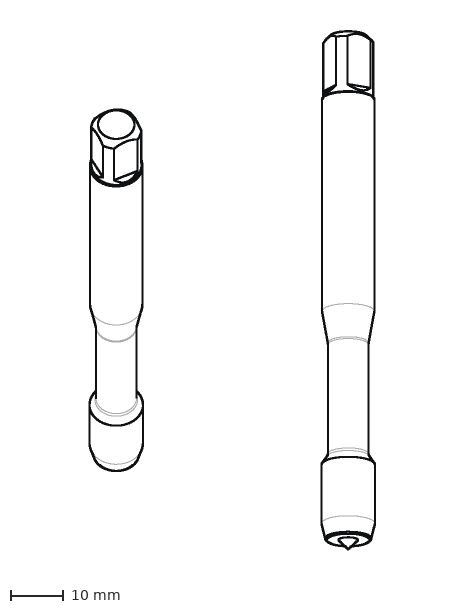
import cadquery as cq
import math

TOTAL_LENGTH = 101.6
POINT_LENGTH = 1.8
LEAD_TOP = 5.1
THREAD_TOP = 16.8
SHOULDER_TOP = 18.6
NECK_TOP = 40.8
SHANK_BOTTOM = 47.2
SHANK_TOP = 89.1
SQUARE_BOTTOM = 90.8

THREAD_DIAMETER = 10.2
LEAD_DIAMETER = 8.7
NECK_DIAMETER = 7.7
SHANK_DIAMETER = 10.0
DRIVE_DIAMETER = 9.6
DRIVE_TOP_DIAMETER = 6.9

LEAD_CHAMFER = 0.3
SHOULDER_FILLET = 1.0
TAPER_FILLET = 2.0

SQUARE_WIDTH = 8.1
RUNOUT_ANGLE = 35.0
SHANK_CHAMFER = (SHANK_DIAMETER - DRIVE_DIAMETER) / 2
DRIVE_CHAMFER = (DRIVE_DIAMETER - DRIVE_TOP_DIAMETER) / 2


def revolve_profile(points):
    """Turn an outline of (radius, height) points about the Z axis."""
    return cq.Workplane("XZ").polyline(points).close().revolve(360, (0, 0, 0), (0, 1, 0))


def fillet_ring(body, height, radius):
    """Round the circular edge of the neck that lies at the given height."""
    near = 0.1
    reach = NECK_DIAMETER
    ring = cq.selectors.BoxSelector(
        (-reach, -reach, height - near),
        (reach, reach, height + near),
        boundingbox=True,
    )
    return body.edges(ring).fillet(radius)


def make_threaded_head():
    """Plain cylinder standing for the thread, with a tapered lead and a 45 degree point."""
    return revolve_profile([
        (0, 0),
        (POINT_LENGTH, POINT_LENGTH),
        (LEAD_DIAMETER / 2 - LEAD_CHAMFER, POINT_LENGTH),
        (LEAD_DIAMETER / 2, POINT_LENGTH + LEAD_CHAMFER),
        (THREAD_DIAMETER / 2, LEAD_TOP),
        (THREAD_DIAMETER / 2, THREAD_TOP),
        (0, THREAD_TOP),
    ])


def cut_drive_square(blank):
    """Mill four flats on the drive end, each running out obliquely to the shank surface."""
    flat = SQUARE_WIDTH / 2
    clearance = SHANK_DIAMETER
    runout_drop = clearance / math.tan(math.radians(RUNOUT_ANGLE))
    waste = (
        cq.Workplane("XZ")
        .polyline([
            (flat, TOTAL_LENGTH),
            (flat, SQUARE_BOTTOM),
            (flat + clearance, SQUARE_BOTTOM - runout_drop),
            (flat + clearance, TOTAL_LENGTH),
        ])
        .close()
        .extrude(clearance, both=True)
    )
    for side in range(4):
        blank = blank.cut(waste.rotate((0, 0, 0), (0, 0, 1), side * 90))
    return blank


def make_shank():
    """Shoulder, neck, taper and shank, ending in a square drive with a chamfered top."""
    blank = revolve_profile([
        (0, THREAD_TOP),
        (THREAD_DIAMETER / 2, THREAD_TOP),
        (NECK_DIAMETER / 2, SHOULDER_TOP),
        (NECK_DIAMETER / 2, NECK_TOP),
        (SHANK_DIAMETER / 2, SHANK_BOTTOM),
        (SHANK_DIAMETER / 2, SHANK_TOP),
        (DRIVE_DIAMETER / 2, SHANK_TOP + SHANK_CHAMFER),
        (DRIVE_DIAMETER / 2, TOTAL_LENGTH - DRIVE_CHAMFER),
        (DRIVE_TOP_DIAMETER / 2, TOTAL_LENGTH),
        (0, TOTAL_LENGTH),
    ])
    blank = fillet_ring(blank, SHOULDER_TOP, SHOULDER_FILLET)
    blank = fillet_ring(blank, NECK_TOP, TAPER_FILLET)
    return cut_drive_square(blank)


threaded_head = make_threaded_head()
shank = make_shank()

result = cq.Compound.makeCompound([threaded_head.val(), shank.val()])